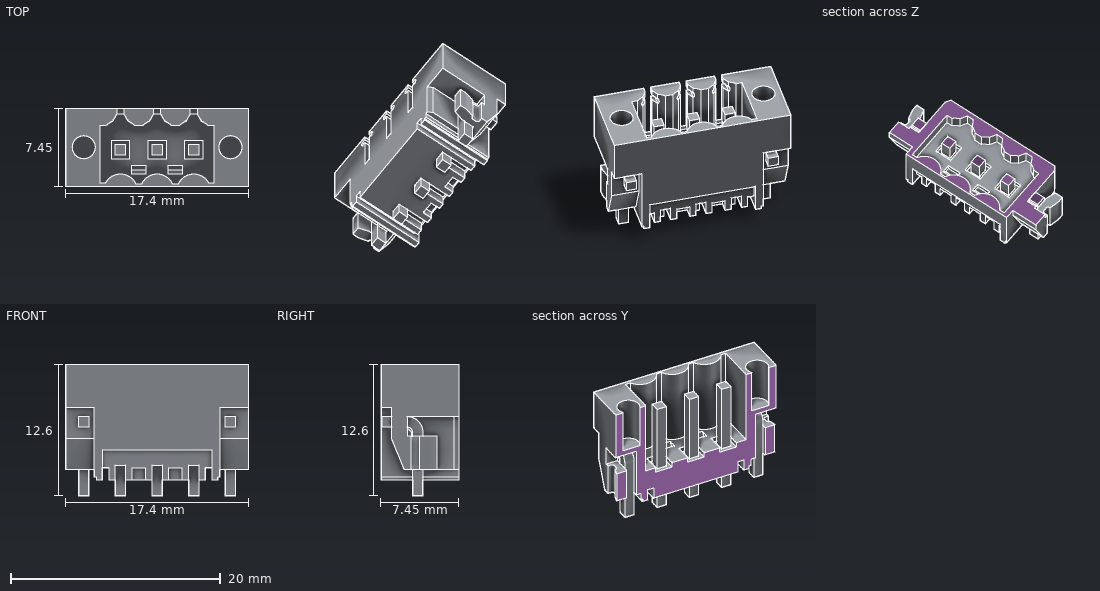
import cadquery as cq
import math


diagonal = math.sqrt(0.5)

pitch = 3.5
pin_width = 1.0
tail_length = 1.5
length = 17.45
half_length = length / 2
depth = 7.45
height = 11.05
front_y = -3.5
back_y = front_y + depth
pin_places = [-pitch, 0, pitch]
gap_places = [-pitch / 2, pitch / 2]

core_half = 6.0
core_foot_half = 5.8
foot_step_height = 0.28

end_bottom = 1.0
front_notch_top = 6.9
front_notch_depth = 1.0
slope_top = 3.95
slope_bottom_y = -1.3
end_hole_x = 2 * pitch
end_hole_y = 0.25
end_hole_diameter = 2.2
end_hole_depth = 4.4

anchor_x = end_hole_x
anchor_half = pin_width / 2
bend_inner_radius = 0.5
bend_outer_radius = bend_inner_radius + pin_width
anchor_top = 6.05
anchor_front_y = -3.4
bend_y = anchor_half - bend_outer_radius
bend_z = anchor_top - bend_outer_radius

chamber_inner_x = anchor_x - anchor_half
chamber_front_y = -1.0
pillar_chamfer_length = 0.5
pillar_chamfer_width = 0.3
rib_back_y = -0.6
rib_top = 4.94
rib_chamfer_bottom = 4.6

clip_top = 4.2
clip_root_y = -0.65
clip_neck_x = 8.15
clip_neck_front_y = -0.42
clip_neck_back_y = -0.02
clip_root_fillet = clip_neck_front_y - clip_root_y
clip_bulge_fillet = 0.17
clip_bulge_front_x = 8.42
clip_bulge_x = 8.67
clip_bulge_y = 1.15
clip_back_y = 1.82
clip_tip_x = 7.82
clip_tip_start_y = 0.77

cavity_half = 5.45
cavity_floor = 3.5
cavity_front_y = -3.16
cavity_gap_front_y = -3.28
cavity_back_y = 2.32
lobe_radius = 1.62
lobe_centre_y = -3.93
key_half = 0.34
key_back_y = 3.42
key_shoulder_half = 0.725
key_shoulder_y = 2.74
key_arc_centre_y = 0.94
key_arc_radius = math.hypot(key_shoulder_half, key_shoulder_y - key_arc_centre_y)
key_mouth_half = math.sqrt(key_arc_radius**2 - (cavity_back_y - key_arc_centre_y) ** 2)
key_floor = 5.5
key_groove_bottom = 9.9
key_groove_top = 10.46
key_groove_flat_half = 0.73
key_groove_half = 0.86

contact_recess_width = 1.75
contact_recess_depth = 0.5
pocket_width = 1.38
pocket_front_y = -2.32
pocket_ramp_y = -1.93
pocket_back_y = -1.48
pocket_depth = 0.5

comb_half = 5.22
comb_top = 2.86
comb_depth = 0.63
comb_front_y = front_y + comb_depth
comb_body_half = 4.6
notch_top = 1.17
drain_back_y = -1.9
drain_outer_x = 2.38
drain_inner_x = 1.1
slot_top = 1.4

contact_top = 9.9


def box(x_range, y_range, z_range):
    """Block between the given limits along X, Y and Z."""
    (x0, x1), (y0, y1), (z0, z1) = x_range, y_range, z_range
    return cq.Workplane("XY").box(x1 - x0, y1 - y0, z1 - z0, centered=False).translate((x0, y0, z0))


def side_profile(x_from):
    """Sketch plane for (Y, Z) outlines that are extruded toward +X."""
    return cq.Workplane("YZ").workplane(offset=x_from)


def both_ends(shape):
    """The given +X end feature together with its mirror image."""
    return shape.union(shape.mirror("YZ"))


def core_block():
    upper = box((-core_half, core_half), (front_y, back_y), (foot_step_height, height))
    foot = box((-core_foot_half, core_foot_half), (front_y, back_y), (0, foot_step_height))
    return upper.union(foot)


def end_wall():
    """Outer end: full depth above, notched and sloped at the lower front."""
    notch_y = front_y + front_notch_depth
    return (
        side_profile(core_half)
        .moveTo(back_y, height)
        .lineTo(front_y, height)
        .lineTo(front_y, front_notch_top)
        .lineTo(notch_y, front_notch_top)
        .lineTo(notch_y, slope_top)
        .lineTo(slope_bottom_y, end_bottom)
        .lineTo(back_y, end_bottom)
        .close()
        .extrude(half_length - core_half)
    )


def anchor_chamber():
    """Hollow behind the end wall; its inner wall is chamfered at the back edge."""
    return (
        cq.Workplane("XY")
        .workplane(offset=end_bottom)
        .moveTo(half_length, chamber_front_y)
        .lineTo(half_length, back_y)
        .lineTo(chamber_inner_x - pillar_chamfer_width, back_y)
        .lineTo(chamber_inner_x, back_y - pillar_chamfer_length)
        .lineTo(chamber_inner_x, chamber_front_y)
        .close()
        .extrude(anchor_top - end_bottom)
    )


def anchor_rib():
    """Rib on the end wall that supports the anchor below its bend."""
    return (
        side_profile(chamber_inner_x)
        .moveTo(chamber_front_y, end_bottom)
        .lineTo(rib_back_y, end_bottom)
        .lineTo(rib_back_y, rib_chamfer_bottom)
        .lineTo(chamber_front_y, rib_top)
        .close()
        .extrude(pin_width)
    )


def clip_arm():
    """Thickened lower wall and the arm that runs back beside the anchor tail."""
    inner_x = anchor_x + anchor_half
    root_x = clip_neck_x + clip_root_fillet
    neck_back_x = clip_neck_x + clip_bulge_fillet
    root_arc_middle = (root_x - clip_root_fillet * diagonal, clip_neck_front_y - clip_root_fillet * diagonal)
    bulge_arc_middle = (
        neck_back_x - clip_bulge_fillet * diagonal,
        clip_neck_back_y + clip_bulge_fillet * diagonal,
    )
    bulge_front_y = clip_neck_back_y + clip_bulge_fillet
    return (
        cq.Workplane("XY")
        .workplane(offset=end_bottom)
        .moveTo(inner_x, chamber_front_y)
        .lineTo(half_length, chamber_front_y)
        .lineTo(half_length, clip_root_y)
        .lineTo(root_x, clip_root_y)
        .threePointArc(root_arc_middle, (clip_neck_x, clip_neck_front_y))
        .lineTo(clip_neck_x, clip_neck_back_y)
        .threePointArc(bulge_arc_middle, (neck_back_x, bulge_front_y))
        .lineTo(clip_bulge_front_x, bulge_front_y)
        .lineTo(clip_bulge_x, clip_bulge_y)
        .lineTo(clip_bulge_x, clip_back_y)
        .lineTo(clip_tip_x, clip_back_y)
        .lineTo(inner_x, clip_tip_start_y)
        .close()
        .extrude(clip_top - end_bottom)
    )


def end_hole():
    return (
        cq.Workplane("XY")
        .workplane(offset=height - end_hole_depth)
        .center(end_hole_x, end_hole_y)
        .circle(end_hole_diameter / 2)
        .extrude(end_hole_depth)
    )


def front_lobes():
    """Round columns that stand along the front wall of the cavity."""
    return (
        cq.Workplane("XY")
        .workplane(offset=cavity_floor)
        .pushPoints([(x, lobe_centre_y) for x in pin_places])
        .circle(lobe_radius)
        .extrude(height - cavity_floor)
    )


def key_channel(x):
    """Flared channel in the back wall behind one contact."""
    arc_middle_half = (key_shoulder_half + key_mouth_half) / 2
    arc_middle_y = key_arc_centre_y + math.sqrt(key_arc_radius**2 - arc_middle_half**2)
    return (
        cq.Workplane("XY")
        .workplane(offset=cavity_floor)
        .moveTo(-key_mouth_half, cavity_back_y)
        .threePointArc((-arc_middle_half, arc_middle_y), (-key_shoulder_half, key_shoulder_y))
        .lineTo(-key_half, key_back_y)
        .lineTo(key_half, key_back_y)
        .lineTo(key_shoulder_half, key_shoulder_y)
        .threePointArc((arc_middle_half, arc_middle_y), (key_mouth_half, cavity_back_y))
        .close()
        .extrude(height - cavity_floor)
        .translate((x, 0, 0))
    )


def key_opening(x):
    """Slot through the back wall, crossed near its top by a wider groove with bowed ends."""
    slot = box((x - key_half, x + key_half), (key_back_y, back_y), (key_floor, height))
    middle_z = (key_groove_bottom + key_groove_top) / 2
    groove = (
        cq.Workplane("XZ", origin=(x, back_y, 0))
        .moveTo(-key_groove_flat_half, key_groove_bottom)
        .lineTo(key_groove_flat_half, key_groove_bottom)
        .threePointArc((key_groove_half, middle_z), (key_groove_flat_half, key_groove_top))
        .lineTo(-key_groove_flat_half, key_groove_top)
        .threePointArc((-key_groove_half, middle_z), (-key_groove_flat_half, key_groove_bottom))
        .close()
        .extrude(back_y - cavity_back_y)
    )
    return slot.union(groove)


def plug_cavity():
    z_range = (cavity_floor, height)
    cavity = box((-cavity_half, cavity_half), (cavity_front_y, cavity_back_y), z_range)
    cavity = cavity.union(box((-pitch, pitch), (cavity_gap_front_y, cavity_front_y), z_range))
    cavity = cavity.cut(front_lobes())
    for x in pin_places:
        cavity = cavity.union(key_channel(x)).union(key_opening(x))
    return cavity


def contact_recess(x):
    """Shallow square recess in the cavity floor around one contact."""
    half = contact_recess_width / 2
    recess_bottom = cavity_floor - contact_recess_depth
    return box((x - half, x + half), (-half, half), (recess_bottom, cavity_floor))


def floor_pocket(x):
    """Shallow pocket in the cavity floor with a ramp at its front."""
    return (
        side_profile(x - pocket_width / 2)
        .moveTo(pocket_front_y, cavity_floor)
        .lineTo(pocket_ramp_y, cavity_floor - pocket_depth)
        .lineTo(pocket_back_y, cavity_floor - pocket_depth)
        .lineTo(pocket_back_y, cavity_floor)
        .close()
        .extrude(pocket_width)
    )


def comb_cuts():
    """Front recess, open end notches, drain notches and contact slots of the foot."""
    cuts = box((-comb_half, comb_half), (front_y, comb_front_y), (0, comb_top))
    drain_y = (comb_front_y, drain_back_y)
    for side in (-1, 1):
        end_x = sorted((side * comb_body_half, side * comb_half))
        drain_x = sorted((side * drain_inner_x, side * drain_outer_x))
        cuts = cuts.union(box(end_x, (front_y, back_y), (0, notch_top)))
        cuts = cuts.union(box(drain_x, drain_y, (0, notch_top)))
    for x in pin_places:
        slot_x = (x - pin_width / 2, x + pin_width / 2)
        cuts = cuts.union(box(slot_x, (comb_front_y, -pin_width / 2), (0, slot_top)))
    return cuts


def make_contact(x):
    """Straight square pin, from the plug cavity to the solder tail."""
    half = pin_width / 2
    return box((x - half, x + half), (-half, half), (-tail_length, contact_top))


def make_anchor(x):
    """Square bar that runs back through the end wall and bends down into a solder tail."""
    outer_middle = (bend_y + bend_outer_radius * diagonal, bend_z + bend_outer_radius * diagonal)
    inner_middle = (bend_y + bend_inner_radius * diagonal, bend_z + bend_inner_radius * diagonal)
    return (
        side_profile(x - anchor_half)
        .moveTo(anchor_front_y, anchor_top)
        .lineTo(bend_y, anchor_top)
        .threePointArc(outer_middle, (anchor_half, bend_z))
        .lineTo(anchor_half, -tail_length)
        .lineTo(-anchor_half, -tail_length)
        .lineTo(-anchor_half, bend_z)
        .threePointArc(inner_middle, (bend_y, anchor_top - pin_width))
        .lineTo(anchor_front_y, anchor_top - pin_width)
        .close()
        .extrude(pin_width)
    )


def make_housing(inserts):
    body = core_block().union(both_ends(end_wall()))
    body = body.cut(both_ends(anchor_chamber()))
    body = body.union(both_ends(anchor_rib().union(clip_arm())))
    body = body.cut(both_ends(end_hole())).cut(plug_cavity()).cut(comb_cuts())
    for x in pin_places:
        body = body.cut(contact_recess(x))
    for x in gap_places:
        body = body.cut(floor_pocket(x))
    for insert in inserts:
        body = body.cut(insert)
    return body.solids()


contacts = [make_contact(x) for x in pin_places]
anchors = [make_anchor(x) for x in (-anchor_x, anchor_x)]
housing = make_housing(contacts + anchors)

result = cq.Compound.makeCompound(
    [housing.val(), *[contact.val() for contact in contacts], *[anchor.val() for anchor in anchors]]
)